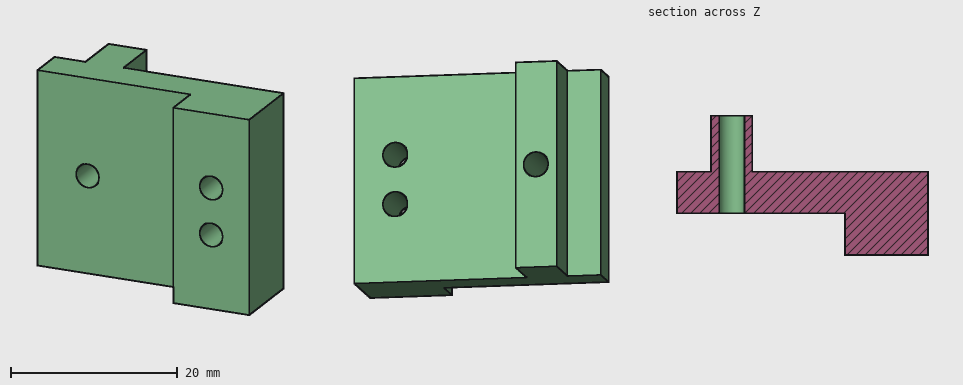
import cadquery as cq

length = 30.1
depth = 16.72
height = 25.0

plate_thickness = 5.0
block_width = 9.98
block_projection = 5.0
rib_width = 5.0
rib_offset = 4.06
rib_projection = depth - plate_thickness - block_projection

hole_diameter = 3.0
block_hole_inset = 5.0
block_hole_spacing = 6.0
rib_hole_x = 6.6
block_hole_x = length - block_hole_inset
mid_height = height / 2


def upright_box(x, y, width, thickness):
    """Full-height box with its lower corner at (x, y, 0)."""
    box = cq.Workplane("XY").box(width, thickness, height, centered=False)
    return box.translate((x, y, 0))


def through_hole(x, z):
    """Cylinder along Y that spans the whole depth of the part."""
    drill = cq.Workplane("XZ").center(x, z).circle(hole_diameter / 2)
    return drill.extrude(-depth)


plate = upright_box(0, block_projection, length, plate_thickness)
block = upright_box(length - block_width, 0, block_width, block_projection)
rib = upright_box(rib_offset, block_projection + plate_thickness, rib_width, rib_projection)
body = plate.union(block).union(rib).clean()

hole_positions = [
    (rib_hole_x, mid_height),
    (block_hole_x, mid_height - block_hole_spacing / 2),
    (block_hole_x, mid_height + block_hole_spacing / 2),
]
for hole_x, hole_z in hole_positions:
    body = body.cut(through_hole(hole_x, hole_z))

result = body